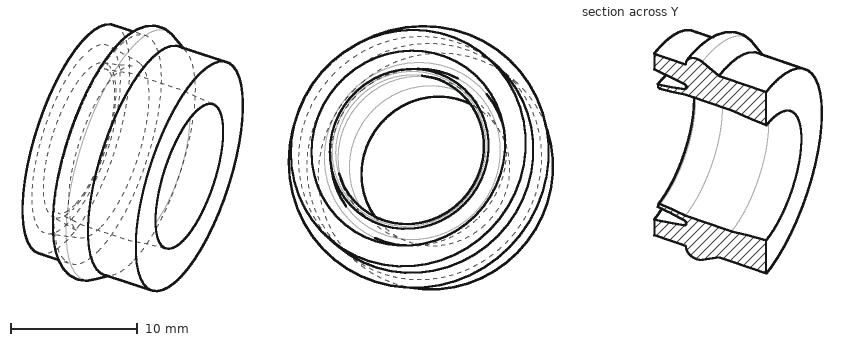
import cadquery as cq
import math

length = 10.0
body_radius = 9.502

bead_radius = 10.5
bead_start = 2.8
bead_round = bead_radius - body_radius
flank_angle = math.radians(30)

groove_mouth_radius = 7.83
groove_outer_radius = 7.37
groove_inner_radius = 6.87
groove_wall_depth = 2.6
groove_floor_round = (groove_outer_radius - groove_inner_radius) / 2

lip_setback = 0.32
lip_outer_radius = 6.43
lip_round = 0.23

throat_radius = 12.0 / 2
bore_radius = 12.6 / 2
bore_start = 2.8
bore_end = 6.9


def arc_point(center, radius, angle):
    """Point (x, r) on an arc, with the angle measured from the +X direction."""
    return center[0] + radius * math.cos(angle), center[1] + radius * math.sin(angle)


bead_center = (bead_start + bead_round, body_radius)
flank_normal = math.pi / 2 - flank_angle
flank_start = arc_point(bead_center, bead_round, flank_normal)
bead_middle = arc_point(bead_center, bead_round, (math.pi + flank_normal) / 2)
flank_end = flank_start[0] + (flank_start[1] - body_radius) / math.tan(flank_angle)

groove_center_radius = (groove_outer_radius + groove_inner_radius) / 2
groove_floor = (groove_wall_depth + groove_floor_round, groove_center_radius)

lip_round_center = (lip_setback + lip_round, throat_radius + lip_round)
lip_round_middle = arc_point(lip_round_center, lip_round, math.radians(225))

section = (
    cq.Workplane("XY")
    .moveTo(0, groove_mouth_radius)
    .lineTo(0, body_radius)
    .lineTo(bead_start, body_radius)
    .threePointArc(bead_middle, flank_start)
    .lineTo(flank_end, body_radius)
    .lineTo(length, body_radius)
    .lineTo(length, throat_radius)
    .lineTo(bore_end, bore_radius)
    .lineTo(bore_start, bore_radius)
    .lineTo(lip_round_center[0], throat_radius)
    .threePointArc(lip_round_middle, (lip_setback, lip_round_center[1]))
    .lineTo(lip_setback, lip_outer_radius)
    .lineTo(groove_wall_depth, groove_inner_radius)
    .threePointArc(groove_floor, (groove_wall_depth, groove_outer_radius))
    .close()
)

result = section.revolve(360, (0, 0, 0), (1, 0, 0))